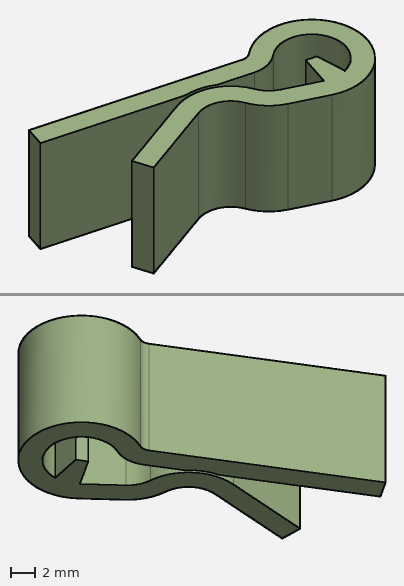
import cadquery as cq
import math

length = 30.2
depth = 11.0
strip = 2.0

loop_outer = 5.2
loop_inner = loop_outer - strip
leg_left = -2.55
leg_right = leg_left + strip
leg_end = loop_outer - length
neck_inner = 1.0
neck_outer = neck_inner + strip

arm_angle = 10.0
shoulder_outer = 4.98
shoulder_inner = shoulder_outer - strip
knee_outer = 4.98
knee_inner = knee_outer - strip
knee_center = (4.53, -10.0)
tail_angle = 35.0
tail_length = 8.15
relief_gap = 0.3

barb_tip_x = 0.0
barb_bottom = -0.57
barb_tip_height = 1.05
barb_root_x = 2.78
barb_root_y = math.sqrt(loop_inner**2 - barb_root_x**2)
barb_overlap = 0.9


def polar(center, radius, angle):
    """Point on a circle, with the angle in degrees."""
    turn = math.radians(angle)
    return (center[0] + radius * math.cos(turn), center[1] + radius * math.sin(turn))


def direction(start, end):
    """Angle in degrees of the line from start to end."""
    return math.degrees(math.atan2(end[1] - start[1], end[0] - start[0]))


def add_arc(path, center, radius, start, end):
    """Continue a path along an arc between two angles."""
    return path.threePointArc(polar(center, radius, (start + end) / 2), polar(center, radius, end))


loop_center = (0.0, 0.0)
neck_x = leg_left - neck_inner
neck_center = (neck_x, -math.sqrt((loop_outer + neck_inner)**2 - neck_x**2))
neck_angle = direction(neck_center, loop_center)
loop_start = neck_angle + 180
loop_end = -arm_angle

offset_point = polar(loop_center, loop_outer - shoulder_outer, loop_end)
arm_direction = polar(loop_center, 1.0, loop_end - 90)
to_knee = (knee_center[0] - offset_point[0], knee_center[1] - offset_point[1])
along = to_knee[0] * arm_direction[0] + to_knee[1] * arm_direction[1]
across_squared = to_knee[0]**2 + to_knee[1]**2 - along**2
arm_length = along - math.sqrt((shoulder_outer + knee_inner)**2 - across_squared)
shoulder_center = polar(offset_point, arm_length, loop_end - 90)
shoulder_end = direction(shoulder_center, knee_center)
knee_start = shoulder_end + 180
knee_end = 180 + tail_angle
tail_direction = knee_end + 90


def make_strip():
    """Bent strip: straight leg, neck, loop, arm, shoulder, knee and tail."""
    path = cq.Workplane("XY").moveTo(leg_left, leg_end).lineTo(leg_left, neck_center[1])
    path = add_arc(path, neck_center, neck_inner, 0, neck_angle)
    path = add_arc(path, loop_center, loop_outer, loop_start, loop_end)
    path = path.lineTo(*polar(shoulder_center, shoulder_outer, loop_end))
    path = add_arc(path, shoulder_center, shoulder_outer, loop_end, shoulder_end)
    path = add_arc(path, knee_center, knee_inner, knee_start, knee_end)
    path = path.lineTo(*polar(polar(knee_center, knee_inner, knee_end), tail_length, tail_direction))
    path = path.lineTo(*polar(polar(knee_center, knee_outer, knee_end), tail_length, tail_direction))
    path = path.lineTo(*polar(knee_center, knee_outer, knee_end))
    path = add_arc(path, knee_center, knee_outer, knee_end, knee_start)
    path = add_arc(path, shoulder_center, shoulder_inner, shoulder_end, loop_end)
    path = path.lineTo(*polar(loop_center, loop_inner, loop_end))
    path = add_arc(path, loop_center, loop_inner, loop_end, loop_start)
    path = add_arc(path, neck_center, neck_outer, neck_angle, 0)
    return path.lineTo(leg_right, leg_end).close().extrude(depth)


def make_barb():
    """Pointed catch reaching from the strip to the middle of the loop."""
    outline = [
        (barb_tip_x, barb_bottom),
        (barb_root_x + barb_overlap, barb_bottom),
        (barb_root_x + barb_overlap, barb_root_y),
        (barb_root_x, barb_root_y),
        (barb_tip_x, barb_bottom + barb_tip_height),
    ]
    return cq.Workplane("XY").polyline(outline).close().extrude(depth)


def make_relief():
    """Shallow round hollow in the leg, concentric with the knee."""
    radius = knee_outer + relief_gap
    disc = cq.Workplane("XY").center(*knee_center).circle(radius).extrude(depth)
    leg_zone = (
        cq.Workplane("XY")
        .center((leg_left + leg_right) / 2, knee_center[1])
        .rect(strip, 2 * radius)
        .extrude(depth)
    )
    return disc.intersect(leg_zone)


result = make_strip().cut(make_relief()).union(make_barb())